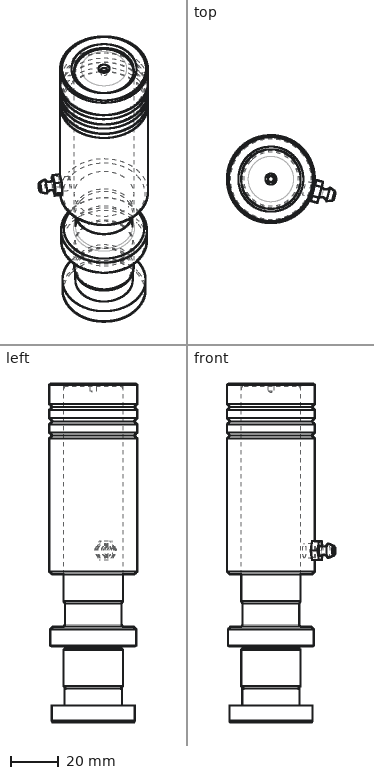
import cadquery as cq
import math

TOP_Z = 142.0
CAP_DISC_TOP_Z = 7.2
PIN_BOTTOM_Z = 14.2
FLANGE_BOTTOM_Z = 31.8
FLANGE_TOP_Z = 40.2
GUIDE_BOTTOM_Z = 50.0
BUSH_BOTTOM_Z = 62.0

PIN_R = 12.5
NECK_R = 11.9
NECK_STEP = PIN_R - NECK_R
NECK_CHAMFER_H = 0.9
LOWER_NECK_H = 0.9
PIN_END_CHAMFER = 1.1
PIN_TOP_ROUND = 3.0
FLANGE_R = 18.0
FLANGE_TOP_CHAMFER = 0.9
FLANGE_TAPER_W = 0.3
FLANGE_TAPER_H = 0.4
FLANGE_BOTTOM_CHAMFER_W = 0.9
FLANGE_BOTTOM_CHAMFER_H = 0.5
FLANGE_ROOT_ROUND = 0.9

CENTRE_MOUTH_R = 2.3
CENTRE_DRILL_R = 1.3
CENTRE_CONE_ANGLE = 90.0
CENTRE_DRILL_DEPTH = 2.0
DRILL_TIP_ANGLE = 120.0

BUSH_R = 18.5
BUSH_TOP_CHAMFER_W = 0.9
BUSH_TOP_CHAMFER_H = 0.5
BUSH_BOTTOM_CHAMFER = 1.3
BORE_CHAMFER = 1.1
GROOVE_DEPTH = 1.3
GROOVE_COUNT = 3
GROOVE_PITCH = 6.0
FIRST_GROOVE_Z = 132.2

CAP_DISC_R = 17.5
CAP_NECK_R = 12.0
CAP_CHAMFER_W = 0.4
CAP_CHAMFER_H = 0.9

NIPPLE_Z = 72.0
NIPPLE_ANGLE = -15.0
SHANK_R = 3.0
SHANK_LENGTH = 4.0
HEX_WIDTH = 8.0
HEX_LENGTH = 3.0
HEX_END = BUSH_R + HEX_LENGTH
NIPPLE_NECK_R = 1.8
NIPPLE_BASE_R = 2.3
NIPPLE_BASE_END = 22.5
HEAD_R = 3.0
HEAD_EDGE = 24.8
HOLLOW_MID = 23.9
HOLLOW_MID_R = 2.0
HEAD_TIP_R = 2.1
HEAD_TIP = 27.1
NIPPLE_END_R = 1.4
NIPPLE_END = 27.7


def revolve_about_z(profile):
    """Turn a closed (radius, z) profile on the XZ plane about the Z axis."""
    return profile.close().revolve(360, (0, 0, 0), (0, 1, 0))


def round_mid(centre_r, centre_z, radius, angle):
    """Point on an arc, used as its middle."""
    a = math.radians(angle)
    return (centre_r + radius * math.cos(a), centre_z + radius * math.sin(a))


def make_centre_hole():
    """Conical centre-drilled hole with a drill tip, to be cut from the pin top."""
    cone_h = (CENTRE_MOUTH_R - CENTRE_DRILL_R) / math.tan(math.radians(CENTRE_CONE_ANGLE / 2))
    tip_h = CENTRE_DRILL_R / math.tan(math.radians(DRILL_TIP_ANGLE / 2))
    cone_z = TOP_Z - cone_h
    drill_z = cone_z - CENTRE_DRILL_DEPTH
    return revolve_about_z(
        cq.Workplane("XZ")
        .moveTo(0, TOP_Z)
        .lineTo(CENTRE_MOUTH_R, TOP_Z)
        .lineTo(CENTRE_DRILL_R, cone_z)
        .lineTo(CENTRE_DRILL_R, drill_z)
        .lineTo(0, drill_z - tip_h)
    )


def make_pin():
    """Stepped guide pin with a flange between two relief necks."""
    lower_neck_z = FLANGE_BOTTOM_Z - LOWER_NECK_H
    root_r = NECK_R + FLANGE_ROOT_ROUND
    root_z = FLANGE_TOP_Z + FLANGE_ROOT_ROUND
    taper_r = FLANGE_R - FLANGE_TAPER_W
    taper_z = FLANGE_TOP_Z - FLANGE_TOP_CHAMFER
    top_round_r = PIN_R - PIN_TOP_ROUND
    top_round_z = TOP_Z - PIN_TOP_ROUND
    body = revolve_about_z(
        cq.Workplane("XZ")
        .moveTo(0, PIN_BOTTOM_Z)
        .lineTo(PIN_R - PIN_END_CHAMFER, PIN_BOTTOM_Z)
        .lineTo(PIN_R, PIN_BOTTOM_Z + PIN_END_CHAMFER)
        .lineTo(PIN_R, lower_neck_z - NECK_STEP)
        .lineTo(NECK_R, lower_neck_z)
        .lineTo(NECK_R, FLANGE_BOTTOM_Z)
        .lineTo(FLANGE_R - FLANGE_BOTTOM_CHAMFER_W, FLANGE_BOTTOM_Z)
        .lineTo(FLANGE_R, FLANGE_BOTTOM_Z + FLANGE_BOTTOM_CHAMFER_H)
        .lineTo(FLANGE_R, taper_z - FLANGE_TAPER_H)
        .lineTo(taper_r, taper_z)
        .lineTo(taper_r - FLANGE_TOP_CHAMFER, FLANGE_TOP_Z)
        .lineTo(root_r, FLANGE_TOP_Z)
        .threePointArc(round_mid(root_r, root_z, FLANGE_ROOT_ROUND, 225), (NECK_R, root_z))
        .lineTo(NECK_R, GUIDE_BOTTOM_Z)
        .lineTo(PIN_R, GUIDE_BOTTOM_Z + NECK_CHAMFER_H)
        .lineTo(PIN_R, top_round_z)
        .threePointArc(round_mid(top_round_r, top_round_z, PIN_TOP_ROUND, 45), (top_round_r, TOP_Z))
        .lineTo(0, TOP_Z)
    )
    return body.cut(make_centre_hole())


def make_groove(centre_z):
    """Ring with a V section, to be cut from the outside of the bush."""
    return revolve_about_z(
        cq.Workplane("XZ")
        .moveTo(BUSH_R, centre_z - GROOVE_DEPTH)
        .lineTo(BUSH_R, centre_z + GROOVE_DEPTH)
        .lineTo(BUSH_R - GROOVE_DEPTH, centre_z)
    )


def make_bush():
    """Guide bush around the pin, with V grooves and a blind hole for the nipple shank."""
    bush = revolve_about_z(
        cq.Workplane("XZ")
        .moveTo(PIN_R, BUSH_BOTTOM_Z)
        .lineTo(BUSH_R - BUSH_BOTTOM_CHAMFER, BUSH_BOTTOM_Z)
        .lineTo(BUSH_R, BUSH_BOTTOM_Z + BUSH_BOTTOM_CHAMFER)
        .lineTo(BUSH_R, TOP_Z - BUSH_TOP_CHAMFER_H)
        .lineTo(BUSH_R - BUSH_TOP_CHAMFER_W, TOP_Z)
        .lineTo(PIN_R + BORE_CHAMFER, TOP_Z)
        .lineTo(PIN_R, TOP_Z - BORE_CHAMFER)
    )
    for index in range(GROOVE_COUNT):
        bush = bush.cut(make_groove(FIRST_GROOVE_Z - index * GROOVE_PITCH))
    return bush.cut(place_nipple(make_shank()))


def make_cap():
    """End cap: a disc with a neck that carries the pin."""
    return revolve_about_z(
        cq.Workplane("XZ")
        .moveTo(0, 0)
        .lineTo(CAP_DISC_R - CAP_CHAMFER_W, 0)
        .lineTo(CAP_DISC_R, CAP_CHAMFER_H)
        .lineTo(CAP_DISC_R, CAP_DISC_TOP_Z)
        .lineTo(CAP_NECK_R, CAP_DISC_TOP_Z)
        .lineTo(CAP_NECK_R, PIN_BOTTOM_Z)
        .lineTo(0, PIN_BOTTOM_Z)
    )


def place_nipple(shape):
    """Move a shape built along +X to the nipple's height and direction."""
    return shape.rotate((0, 0, 0), (0, 0, 1), NIPPLE_ANGLE).translate((0, 0, NIPPLE_Z))


def make_shank():
    """Round shank along +X that ends at the back of the hexagon."""
    return cq.Workplane("YZ").workplane(offset=BUSH_R - SHANK_LENGTH).circle(SHANK_R).extrude(SHANK_LENGTH)


def make_nipple():
    """Grease nipple: shank, hexagon, neck and tapered head."""
    hex_corner_diameter = HEX_WIDTH / math.cos(math.radians(30))
    hexagon = cq.Workplane("YZ").workplane(offset=BUSH_R).polygon(6, hex_corner_diameter).extrude(HEX_LENGTH)
    head = (
        cq.Workplane("XY")
        .moveTo(HEX_END, 0)
        .lineTo(HEX_END, NIPPLE_BASE_R)
        .lineTo(NIPPLE_BASE_END, NIPPLE_NECK_R)
        .threePointArc((HOLLOW_MID, HOLLOW_MID_R), (HEAD_EDGE, HEAD_R))
        .lineTo(HEAD_TIP, HEAD_TIP_R)
        .lineTo(NIPPLE_END, NIPPLE_END_R)
        .lineTo(NIPPLE_END, 0)
        .close()
        .revolve(360, (0, 0, 0), (1, 0, 0))
    )
    return place_nipple(make_shank().union(hexagon).union(head))


pin = make_pin()
bush = make_bush()
cap = make_cap()
nipple = make_nipple()

result = cq.Compound.makeCompound([pin.val(), bush.val(), cap.val(), nipple.val()])